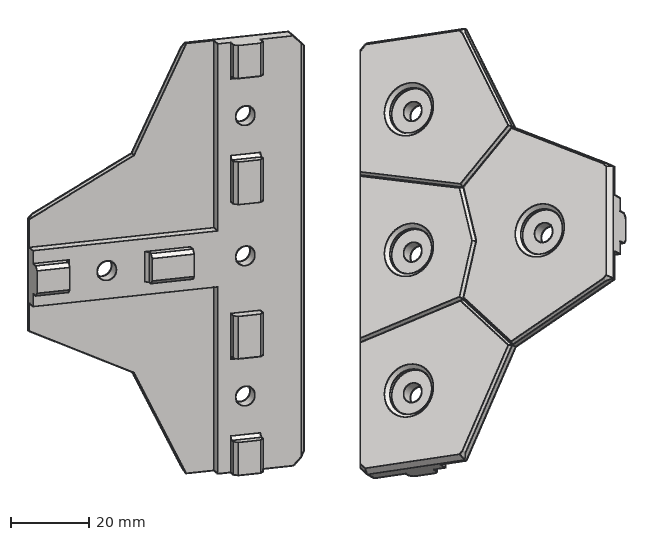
import cadquery as cq


half_height = 57.6
width = 74.0
depth = 9.1

edge_margin = 20.0
pitch = half_height - edge_margin
tip_reach = pitch + edge_margin
rear_reach = tip_reach - width
hole_centres = [(0, 0), (0, pitch), (0, -pitch), (pitch, 0)]

tile_depth = 3.0
plate_depth = 6.0

corner_reach = 15.0
notch = 29.2
groove_slope = 0.25
groove_rear_height = corner_reach + groove_slope * (corner_reach - rear_reach)
middle_tile_reach = corner_reach * (1 + groove_slope)
corner_cut = 3.3

bevel_ratio = 0.5
edge_bevel = 2.1
slope_bevel = 0.98
groove_bevel = 1.2
rear_front_bevel = 4.7
rear_back_bevel = plate_depth - rear_front_bevel

hole_diameter = 5.2
counterbore_diameter = 12.0
countersink = 1.0
counterbore_depth = 2.1

spine_half_width = 7.5
rib_width = 8.1
rib_chamfer = 1.0
rib_foot = 0.9
hole_clearance = 11.2
middle_clearance = 15.0


def slab(outline, start, end):
    """Extrude a (reach, height) outline from X = start to X = end."""
    points = [(-reach, height) for reach, height in outline]
    return cq.Workplane("YZ").workplane(offset=start).polyline(points).close().extrude(end - start)


def edge_wedge(start, end, bevel):
    """V-shaped cutter, bevel deep, along a line on the front face and open towards -X."""
    along = cq.Vector(0, start[0] - end[0], end[1] - start[1])
    overrun = bevel
    origin = cq.Vector(0, -start[0], start[1]) - along.normalized() * overrun
    plane = cq.Plane(origin, xDir=(1, 0, 0), normal=along)
    half_width = bevel * bevel_ratio
    profile = [(0, half_width), (bevel, 0), (0, -half_width)]
    return cq.Workplane(plane).polyline(profile).close().extrude(along.Length + 2 * overrun)


def tile(corners, bevels):
    """Convex tile; bevels[i] is the bevel depth on the side that leaves corner i."""
    body = slab(corners, 0, tile_depth)
    for index, bevel in enumerate(bevels):
        if bevel:
            following = corners[(index + 1) % len(corners)]
            body = body.cut(edge_wedge(corners[index], following, bevel))
    return body


def corner_facet(corner):
    """Cutter that blunts an outer corner with a bevel at 45 degrees to the grid."""
    reach, height = corner
    start = (reach - edge_bevel, height + edge_bevel)
    end = (reach + edge_bevel, height - edge_bevel)
    return edge_wedge(start, end, edge_bevel)


def upper_tiles():
    """Upper tile and the upper halves of the middle and tip tiles."""
    junction = (corner_reach, corner_reach)
    groove_rear = (rear_reach, groove_rear_height)
    top_corner = (corner_reach, half_height)
    top_corner_rear = (rear_reach + corner_cut, half_height)
    notch_corner = (notch, notch)
    tip_corner = (tip_reach, corner_reach)
    tip_middle = (tip_reach, 0)
    middle_end = (middle_tile_reach, 0)
    upper = tile(
        [
            (rear_reach, half_height - corner_cut),
            top_corner_rear,
            top_corner,
            notch_corner,
            junction,
            groove_rear,
        ],
        [edge_bevel, edge_bevel, slope_bevel, groove_bevel, groove_bevel, 0],
    )
    middle = tile(
        [groove_rear, junction, middle_end, (rear_reach, 0)],
        [groove_bevel, groove_bevel, 0, 0],
    )
    tip = tile(
        [notch_corner, tip_corner, tip_middle, middle_end, junction],
        [slope_bevel, edge_bevel, 0, groove_bevel, groove_bevel],
    )
    upper = upper.cut(corner_facet(top_corner))
    tip = tip.cut(corner_facet(tip_corner))
    return upper.union(middle).union(tip)


def upper_spine():
    """Upper half of the T-shaped layer behind the tiles."""
    outline = [
        (rear_reach, 0),
        (rear_reach, half_height - corner_cut),
        (rear_reach + corner_cut, half_height),
        (spine_half_width, half_height),
        (spine_half_width, spine_half_width),
        (tip_reach, spine_half_width),
        (tip_reach, 0),
    ]
    return slab(outline, tile_depth, plate_depth)


def rib(start, end, foot_at_start, foot_at_end):
    """Upright rib on the back of the spine between two heights, with chamfered feet by the holes."""
    half = rib_width / 2
    shoulder = depth - rib_chamfer
    section = [
        (plate_depth, -half),
        (shoulder, -half),
        (depth, rib_chamfer - half),
        (depth, half - rib_chamfer),
        (shoulder, half),
        (plate_depth, half),
    ]
    body = cq.Workplane("XY").workplane(offset=start).polyline(section).close().extrude(end - start)
    for height, direction, wanted in ((start, -1, foot_at_start), (end, 1, foot_at_end)):
        if wanted:
            foot = [
                (plate_depth, height),
                (plate_depth, height + direction * rib_foot),
                (plate_depth + rib_foot, height),
            ]
            body = body.union(cq.Workplane("XZ").polyline(foot).close().extrude(half, both=True))
    return body


def upper_ribs():
    """Ribs on both sides of the hole at the end of an arm of the spine."""
    inner = rib(middle_clearance, pitch - hole_clearance, False, True)
    outer = rib(pitch + hole_clearance, half_height, True, False)
    return inner.union(outer)


def rear_bevels():
    """Cutters that bring the long +Y edge to a ridge."""
    rear = -rear_reach
    front_profile = [(0, rear), (0, rear - rear_front_bevel * bevel_ratio), (rear_front_bevel, rear)]
    back_profile = [
        (plate_depth, rear),
        (plate_depth, rear - rear_back_bevel),
        (rear_front_bevel, rear),
    ]
    front = cq.Workplane("XY").polyline(front_profile).close().extrude(half_height, both=True)
    back = cq.Workplane("XY").polyline(back_profile).close().extrude(half_height, both=True)
    return front.union(back)


def hole(reach, height):
    """Through hole with a countersunk counterbore from the front."""
    bore = counterbore_diameter / 2
    profile = [
        (0, 0),
        (bore + countersink, 0),
        (bore, countersink),
        (bore, counterbore_depth),
        (hole_diameter / 2, counterbore_depth),
        (hole_diameter / 2, depth),
        (0, depth),
    ]
    plane = cq.Plane((0, -reach, height), xDir=(0, 1, 0), normal=(0, 0, -1))
    return cq.Workplane(plane).polyline(profile).close().revolve(360, (0, 0), (0, 1))


upper_half = upper_tiles().union(upper_spine()).union(upper_ribs())
result = upper_half.union(upper_half.mirror("XY"))
result = result.union(upper_ribs().rotate((0, 0, 0), (1, 0, 0), 90))
result = result.cut(rear_bevels())
for reach, height in hole_centres:
    result = result.cut(hole(reach, height))